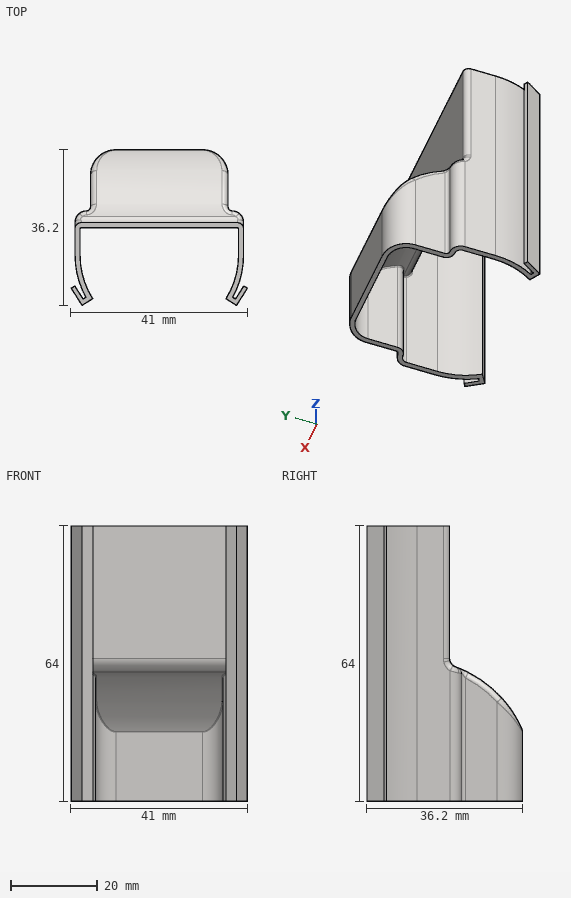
import cadquery as cq
import math

HEIGHT = 64
HALF_SPAN = 20.5
HALF_WIDTH = 19.6
WALL = 1.2
STRAIGHT_DEPTH = 7.6

HUMP_HALF_WIDTH = 16.0
HUMP_DEPTH = 16.95
HUMP_CORNER_RADIUS = 5.95
NECK_RADIUS = 0.9
SHOULDER_RADIUS = HALF_WIDTH - HUMP_HALF_WIDTH - NECK_RADIUS
SHOULDER_START = 0.05
ROOF_RADIUS = 26.9
ROOF_LOW_Z = 16.4
ROOF_BLEND_RADIUS = 2.1
BLEND_TOP_Z = 33.2
EDGE_RADIUS = 1.5

CURVE_RADIUS = 18.75
CURVE_ANGLE = math.radians(32.4)
CLIP_WIDTH = 2.95
LIP_THICKNESS = 1.0
CLIP_FLOOR = 1.15


def roof_center():
    """(Y, Z) centre of the roof arc, which touches the blend circle from outside."""
    blend = (ROOF_BLEND_RADIUS, BLEND_TOP_Z)
    dy = HUMP_DEPTH - blend[0]
    dz = ROOF_LOW_Z - blend[1]
    span = math.hypot(dy, dz)
    to_blend = ROOF_RADIUS + ROOF_BLEND_RADIUS
    along = (to_blend**2 - ROOF_RADIUS**2 + span**2) / (2 * span)
    across = math.sqrt(to_blend**2 - along**2)
    return (
        blend[0] + (along * dy + across * dz) / span,
        blend[1] + (along * dz - across * dy) / span,
    )


def plan_prism(inset):
    """Channel back with the hump, in plan, moved inwards by inset."""
    diagonal = math.sqrt(0.5)
    wall_x = HALF_WIDTH - inset
    hump_x = HUMP_HALF_WIDTH - inset
    hump_y = HUMP_DEPTH - inset
    shoulder = SHOULDER_RADIUS - inset
    neck = NECK_RADIUS + inset
    corner = HUMP_CORNER_RADIUS - inset
    shoulder_x = wall_x - shoulder
    shoulder_mid = (shoulder_x + shoulder * diagonal, SHOULDER_START + shoulder * diagonal)
    neck_y = SHOULDER_START + shoulder + neck
    neck_mid = (shoulder_x - neck * diagonal, neck_y - neck * diagonal)
    corner_x = hump_x - corner
    corner_y = hump_y - corner
    corner_mid = (corner_x + corner * diagonal, corner_y + corner * diagonal)
    half = (
        cq.Workplane("XY")
        .moveTo(0, -STRAIGHT_DEPTH)
        .lineTo(wall_x, -STRAIGHT_DEPTH)
        .lineTo(wall_x, SHOULDER_START)
        .threePointArc(shoulder_mid, (shoulder_x, SHOULDER_START + shoulder))
        .threePointArc(neck_mid, (hump_x, neck_y))
        .lineTo(hump_x, corner_y)
        .threePointArc(corner_mid, (corner_x, hump_y))
        .lineTo(0, hump_y)
        .close()
        .extrude(HEIGHT)
    )
    return half.union(half.mirror("YZ")).clean()


def side_prism(inset):
    """Side outline of the back and the hump roof, moved inwards by inset."""
    center_y, center_z = roof_center()
    radius = ROOF_RADIUS - inset
    blend = ROOF_BLEND_RADIUS + inset
    slope = math.atan2(BLEND_TOP_Z - center_z, ROOF_BLEND_RADIUS - center_y)

    def on_roof(angle):
        return (center_y + radius * math.cos(angle), center_z + radius * math.sin(angle))

    low = math.acos((HUMP_DEPTH - inset - center_y) / radius)
    blend_mid_angle = math.pi + slope / 2
    blend_mid = (
        ROOF_BLEND_RADIUS + blend * math.cos(blend_mid_angle),
        BLEND_TOP_Z + blend * math.sin(blend_mid_angle),
    )
    return (
        cq.Workplane("YZ")
        .moveTo(-STRAIGHT_DEPTH, 0)
        .lineTo(HUMP_DEPTH - inset, 0)
        .lineTo(*on_roof(low))
        .threePointArc(on_roof((low + slope) / 2), on_roof(slope))
        .threePointArc(blend_mid, (-inset, BLEND_TOP_Z))
        .lineTo(-inset, HEIGHT)
        .lineTo(-STRAIGHT_DEPTH, HEIGHT)
        .close()
        .extrude(HALF_WIDTH, both=True)
    )


def rounded_body(inset):
    """Solid back and hump with the channel corners and the roof outline rounded."""
    body = plan_prism(inset).intersect(side_prism(inset))
    corner_point = (HALF_WIDTH - inset, -inset, (BLEND_TOP_Z + HEIGHT) / 2)
    corner_edge = cq.selectors.NearestToPointSelector(corner_point)
    return body.edges(corner_edge).fillet(EDGE_RADIUS - inset)


def clip_wall():
    """Curved lower wall on the +X side, ending in an outward-hooked clip."""
    center_x = HALF_WIDTH - WALL - CURVE_RADIUS
    outward = (math.cos(CURVE_ANGLE), -math.sin(CURVE_ANGLE))
    back = (math.sin(CURVE_ANGLE), math.cos(CURVE_ANGLE))

    def on_curve(radius, angle):
        return (center_x + radius * math.cos(angle), -STRAIGHT_DEPTH - radius * math.sin(angle))

    heel = on_curve(CURVE_RADIUS, CURVE_ANGLE)

    def from_heel(out, up):
        return (heel[0] + out * outward[0] + up * back[0], heel[1] + out * outward[1] + up * back[1])

    lip_length = (HALF_SPAN - from_heel(CLIP_WIDTH, 0)[0]) / back[0]
    outer_radius = CURVE_RADIUS + WALL
    slot_angle = CURVE_ANGLE - math.asin(CLIP_FLOOR / outer_radius)
    slot_inner = CLIP_WIDTH - LIP_THICKNESS
    return (
        cq.Workplane("XY")
        .moveTo(*on_curve(CURVE_RADIUS, 0))
        .threePointArc(on_curve(CURVE_RADIUS, CURVE_ANGLE / 2), heel)
        .lineTo(*from_heel(CLIP_WIDTH, 0))
        .lineTo(*from_heel(CLIP_WIDTH, lip_length))
        .lineTo(*from_heel(slot_inner, lip_length))
        .lineTo(*from_heel(slot_inner, CLIP_FLOOR))
        .lineTo(*on_curve(outer_radius, slot_angle))
        .threePointArc(on_curve(outer_radius, slot_angle / 2), on_curve(outer_radius, 0))
        .close()
        .extrude(HEIGHT)
    )


shell = rounded_body(0).cut(rounded_body(WALL))
right_wall = clip_wall()
result = shell.union(right_wall).union(right_wall.mirror("YZ"))